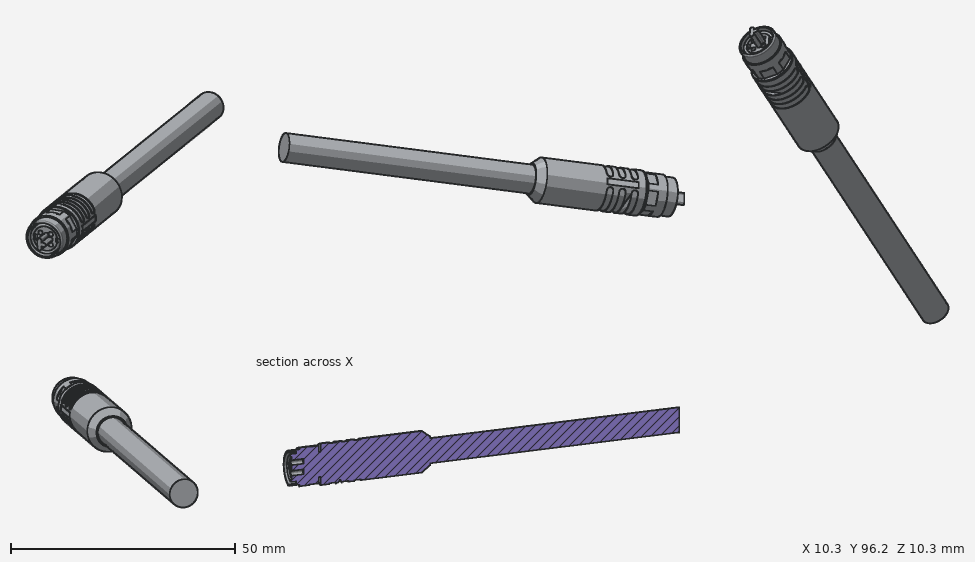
import cadquery as cq
import math

TOTAL_LENGTH = 96.15
NOSE_FRONT = 3.1
RING_FRONT = 5.8
FLATS_END = 8.1
RING_REAR = 10.4
BOOT_FRONT = 10.8
TAPER_START = 34.9
TAPER_END = 36.9

CABLE_DIAMETER = 6.5
TAPER_END_DIAMETER = 7.2
BOOT_DIAMETER = 10.3
NECK_DIAMETER = 6.5
RING_DIAMETER = 9.6
NOSE_DIAMETER = 8.8
RING_ACROSS_FLATS = 9.0
FLAT_COUNT = 6
NOSE_FILLET = 0.3
BOOT_CHAMFER_LENGTH = 0.3
BOOT_CHAMFER_DEPTH = 0.1

GRIP_DEPTH = 0.2
GROOVE_COUNT = 3
GROOVE_WIDTH = 1.5
GROOVE_PITCH = 3.0
GROOVE_CENTER = 16.6
GROOVE_END_HEIGHT = 1.25
GRIP_LENGTH = (GROOVE_COUNT - 1) * GROOVE_PITCH + GROOVE_WIDTH
SIDE_PANEL_HEIGHT = 1.4

SHELL_INNER_DIAMETER = 7.9
COLLAR_DIAMETER = 7.2
BORE_DIAMETER = 5.8
COLLAR_RECESS = 0.5
GAP_DEPTH = 1.9
LIP_RADIUS = (COLLAR_DIAMETER - BORE_DIAMETER) / 4
COLLAR_FRONT = NOSE_FRONT + COLLAR_RECESS
INSULATOR_FACE = COLLAR_FRONT + LIP_RADIUS
CONTACT_DIAMETER = 1.1
CONTACT_OFFSET = 1.25
CONTACT_DEPTH = 2.9
KEYWAY_DEPTH = 1.0
WIDE_KEYWAY_WIDTH = 1.3
WIDE_KEYWAY_INNER = 2.0
NARROW_KEYWAY_WIDTH = 0.9
NARROW_KEYWAY_INNER = 2.5
NARROW_KEYWAY_OUTER = 3.1

KEY_THICKNESS = 1.0
KEY_HEIGHT = 2.9
KEY_BAR_CENTER = 0.2
KEY_STEM_END = 1.7


def y_box(x_range, y_range, height):
    """Box centred on Z = 0 between the given X and Y limits."""
    x_size = x_range[1] - x_range[0]
    y_size = y_range[1] - y_range[0]
    center = (sum(x_range) / 2, sum(y_range) / 2, 0)
    return cq.Workplane("XY").box(x_size, y_size, height).translate(center)


def y_plane(y):
    """Workplane at a Y station, facing +Y, with local x along +Z and local y along +X."""
    return cq.Workplane(cq.Plane(origin=(0, y, 0), xDir=(0, 0, 1), normal=(0, 1, 0)))


def y_cylinder(diameter, start, end):
    return y_plane(start).circle(diameter / 2).extrude(end - start)


def make_boot_and_cable():
    radius = BOOT_DIAMETER / 2
    profile = [
        (0, BOOT_FRONT),
        (radius - BOOT_CHAMFER_DEPTH, BOOT_FRONT),
        (radius, BOOT_FRONT + BOOT_CHAMFER_LENGTH),
        (radius, TAPER_START),
        (TAPER_END_DIAMETER / 2, TAPER_END),
        (CABLE_DIAMETER / 2, TAPER_END),
        (CABLE_DIAMETER / 2, TOTAL_LENGTH),
        (0, TOTAL_LENGTH),
    ]
    return cq.Workplane("XY").polyline(profile).close().revolve(360, (0, 0), (0, 1))


def make_grip_cuts():
    """Round-ended grooves over the top and bottom, and a flat panel on each side."""
    radius = BOOT_DIAMETER / 2
    groove_length = 2 * radius
    center_height = GROOVE_END_HEIGHT + groove_length / 2
    grip_range = (GROOVE_CENTER - GRIP_LENGTH / 2, GROOVE_CENTER + GRIP_LENGTH / 2)
    first_groove = grip_range[0] + GROOVE_WIDTH / 2
    centers = [
        (first_groove + i * GROOVE_PITCH, side * center_height)
        for i in range(GROOVE_COUNT)
        for side in (-1, 1)
    ]
    grooves = cq.Workplane("YZ").pushPoints(centers).slot2D(groove_length, GROOVE_WIDTH, 90)
    grooves = grooves.extrude(2 * radius, both=True)
    groove_floor = y_cylinder(BOOT_DIAMETER - 2 * GRIP_DEPTH, *grip_range)
    cuts = grooves.cut(groove_floor)
    for x_range in ((-2 * radius, GRIP_DEPTH - radius), (radius - GRIP_DEPTH, 2 * radius)):
        cuts = cuts.union(y_box(x_range, grip_range, SIDE_PANEL_HEIGHT))
    return cuts


def make_ring():
    """Coupling ring with six wrench flats at its rear, one of them on top."""
    ring = y_cylinder(RING_DIAMETER, RING_FRONT, RING_REAR)
    half_sector = 180 / FLAT_COUNT
    across_corners = RING_ACROSS_FLATS / math.cos(math.radians(half_sector))
    hexagon = y_plane(FLATS_END).polygon(FLAT_COUNT, across_corners).extrude(RING_REAR - FLATS_END)
    hexagon = hexagon.rotate((0, 0, 0), (0, 1, 0), half_sector)
    flats = y_cylinder(RING_DIAMETER, FLATS_END, RING_REAR).cut(hexagon)
    return ring.cut(flats)


def make_nose():
    return y_cylinder(NOSE_DIAMETER, NOSE_FRONT, RING_FRONT).faces("<Y").edges().fillet(NOSE_FILLET)


def make_socket_cuts():
    """Ring gap around the round-lipped collar, four contact holes and two keyways."""
    shell_radius = SHELL_INNER_DIAMETER / 2
    collar_radius = COLLAR_DIAMETER / 2
    bore_radius = BORE_DIAMETER / 2
    cuts = (
        cq.Workplane("XY")
        .moveTo(0, NOSE_FRONT)
        .lineTo(shell_radius, NOSE_FRONT)
        .lineTo(shell_radius, NOSE_FRONT + GAP_DEPTH)
        .lineTo(collar_radius, NOSE_FRONT + GAP_DEPTH)
        .lineTo(collar_radius, INSULATOR_FACE)
        .threePointArc((bore_radius + LIP_RADIUS, COLLAR_FRONT), (bore_radius, INSULATOR_FACE))
        .lineTo(0, INSULATOR_FACE)
        .close()
        .revolve(360, (0, 0), (0, 1))
    )
    contacts = y_plane(INSULATOR_FACE).rect(2 * CONTACT_OFFSET, 2 * CONTACT_OFFSET, forConstruction=True)
    contacts = contacts.vertices().circle(CONTACT_DIAMETER / 2).extrude(CONTACT_DEPTH)
    keyway_range = (NOSE_FRONT, INSULATOR_FACE + KEYWAY_DEPTH)
    wide_keyway = y_box((-bore_radius, -WIDE_KEYWAY_INNER), keyway_range, WIDE_KEYWAY_WIDTH)
    narrow_keyway = y_box((NARROW_KEYWAY_INNER, NARROW_KEYWAY_OUTER), keyway_range, NARROW_KEYWAY_WIDTH)
    return cuts.union(contacts).union(wide_keyway).union(narrow_keyway)


def make_coding_key():
    """Upright bar with a stem toward +X; all three ends are round."""
    bar = y_plane(0).center(0, KEY_BAR_CENTER).slot2D(KEY_HEIGHT, KEY_THICKNESS).extrude(INSULATOR_FACE)
    stem_round = KEY_STEM_END - KEY_THICKNESS / 2
    stem = y_box((KEY_BAR_CENTER, stem_round), (0, INSULATOR_FACE), KEY_THICKNESS)
    end = y_plane(0).center(0, stem_round).circle(KEY_THICKNESS / 2).extrude(INSULATOR_FACE)
    return bar.union(stem).union(end)


boot_and_cable = make_boot_and_cable().cut(make_grip_cuts())
neck = y_cylinder(NECK_DIAMETER, RING_REAR, BOOT_FRONT)
plug = make_ring().union(make_nose()).cut(make_socket_cuts())
result = boot_and_cable.union(neck).union(plug).union(make_coding_key())